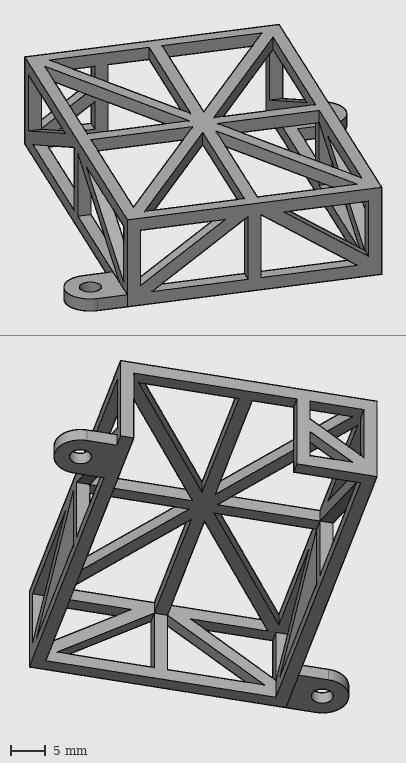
import cadquery as cq
import math

frame_x = 54.0
frame_y = 38.0
frame_z = 14.0
bar = 1.95

end_panel_length = 11.9

total_y = 54.5
ear_width = 7.65
ear_thickness = bar
ear_hole_diameter = 3.15
rear_ear_inset = 2.2

ear_reach = (total_y - frame_y) / 2
ear_radius = ear_width / 2


def diagonal_bar(start, end):
    """Bar of the frame's width and thickness, centred on the line from start to end."""
    dx = end[0] - start[0]
    dy = end[1] - start[1]
    return (
        cq.Workplane("XY")
        .rect(math.hypot(dx, dy), bar)
        .extrude(bar)
        .rotate((0, 0, 0), (0, 0, 1), math.degrees(math.atan2(dy, dx)))
        .translate(((start[0] + end[0]) / 2, (start[1] + end[1]) / 2, 0))
    )


def bordered_panel(length, height):
    """Flat rectangular border with a bar across the middle, centred on the origin."""
    border = (
        cq.Workplane("XY")
        .rect(length, height)
        .rect(length - 2 * bar, height - 2 * bar)
        .extrude(bar)
    )
    middle_post = cq.Workplane("XY").rect(bar, height).extrude(bar)
    return border.union(middle_post)


def make_top_grid():
    """Top panel with a cross and two full diagonals."""
    corner_x = frame_x / 2 - bar
    corner_y = frame_y / 2 - bar
    cross_bar = cq.Workplane("XY").rect(frame_x, bar).extrude(bar)
    grid = bordered_panel(frame_x, frame_y).union(cross_bar)
    for side in (1, -1):
        grid = grid.union(diagonal_bar((-corner_x, -side * corner_y), (corner_x, side * corner_y)))
    return grid.translate((0, 0, frame_z - bar))


def make_wall(length):
    """Wall lying flat, its height along Y, with braces rising from the lower corners to the middle post."""
    corner = length / 2 - bar
    inner_top = frame_z / 2 - bar
    run = corner - bar / 2
    rise = 2 * inner_top
    slope = math.atan2(rise, run) + math.asin(bar / 2 / math.hypot(run, rise))
    top_height = -inner_top + corner * math.tan(slope)
    wall = bordered_panel(length, frame_z)
    for side in (1, -1):
        wall = wall.union(diagonal_bar((side * corner, -inner_top), (0, top_height)))
    envelope = cq.Workplane("XY").rect(length, frame_z).extrude(bar)
    return wall.intersect(envelope).translate((0, frame_z / 2, 0))


def make_frame():
    """Top grid on four braced walls; the -X wall keeps only its top rail, end post and end panel."""
    long_wall = make_wall(frame_x).rotate((0, 0, 0), (1, 0, 0), 90)
    end_wall = make_wall(frame_y).rotate((0, 0, 0), (1, 0, 0), 90).rotate((0, 0, 0), (0, 0, 1), 90)

    opening_start = -frame_y / 2 + end_panel_length
    opening_end = frame_y / 2 - bar
    opening = cq.Workplane("XY").box(
        bar, opening_end - opening_start, frame_z - bar, centered=False
    ).translate((0, opening_start, 0))
    panel_post = cq.Workplane("XY").box(bar, bar, frame_z, centered=False).translate(
        (0, opening_start - bar, 0)
    )
    open_wall = end_wall.cut(opening).union(panel_post)

    return (
        make_top_grid()
        .union(long_wall.translate((0, bar - frame_y / 2, 0)))
        .union(long_wall.translate((0, frame_y / 2, 0)))
        .union(end_wall.translate((frame_x / 2 - bar, 0, 0)))
        .union(open_wall.translate((-frame_x / 2, 0, 0)))
    )


def make_ear():
    """Round-ended tab reaching toward +Y from its root edge on the X axis."""
    straight = ear_reach - ear_radius
    return (
        cq.Workplane("XY")
        .moveTo(-ear_radius, 0)
        .lineTo(ear_radius, 0)
        .lineTo(ear_radius, straight)
        .threePointArc((0, ear_reach), (-ear_radius, straight))
        .close()
        .moveTo(0, straight)
        .circle(ear_hole_diameter / 2)
        .extrude(ear_thickness)
    )


rear_ear = make_ear().translate((-frame_x / 2 + rear_ear_inset + ear_radius, frame_y / 2, 0))
frame = make_frame().union(rear_ear)

front_ear = (
    make_ear()
    .rotate((0, 0, 0), (0, 0, 1), 180)
    .translate((frame_x / 2 - ear_radius, -frame_y / 2, 0))
)

result = cq.Compound.makeCompound([frame.val(), front_ear.val()])